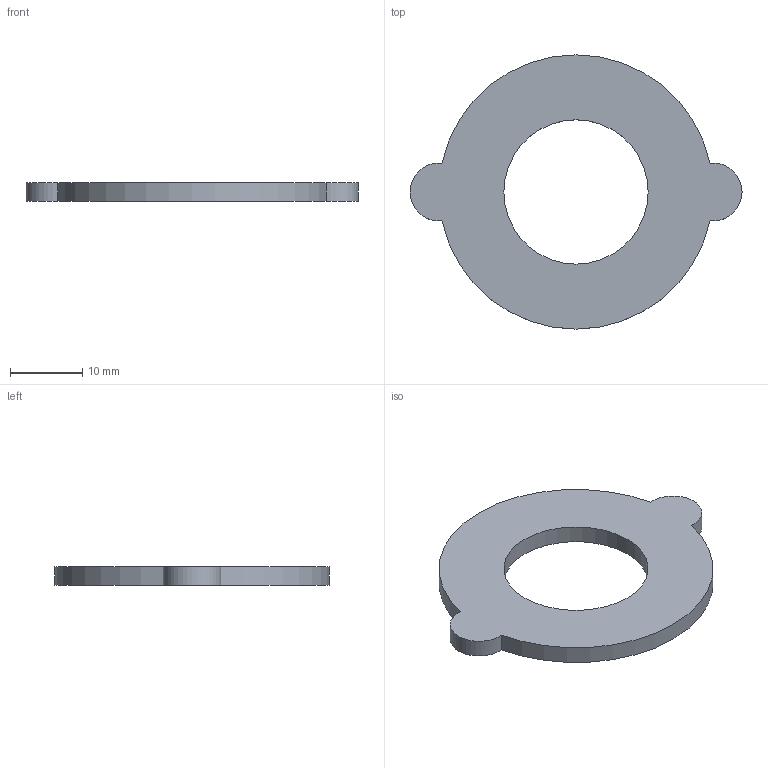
import cadquery as cq

DISC_DIAMETER = 38.0
BORE_DIAMETER = 20.0
THICKNESS = 2.5
EAR_DIAMETER = 8.0

EAR_OFFSET = DISC_DIAMETER / 2


def make_disc():
    """Flat round disc with its underside on Z = 0."""
    return cq.Workplane("XY").circle(DISC_DIAMETER / 2).extrude(THICKNESS)


def make_ears():
    """Two round grip ears on opposite sides of the disc."""
    return (
        cq.Workplane("XY")
        .pushPoints([(-EAR_OFFSET, 0), (EAR_OFFSET, 0)])
        .circle(EAR_DIAMETER / 2)
        .extrude(THICKNESS)
    )


def make_bore():
    """Cylinder that opens the central through hole."""
    return cq.Workplane("XY").circle(BORE_DIAMETER / 2).extrude(THICKNESS)


result = make_disc().union(make_ears()).cut(make_bore())